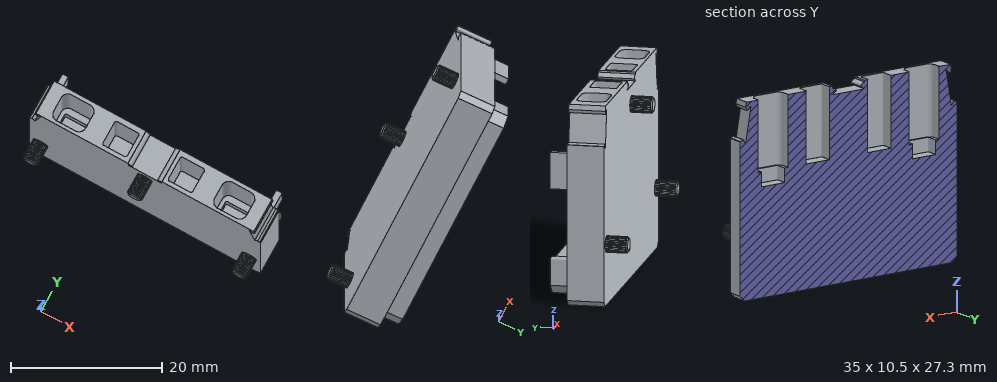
import cadquery as cq
import math


BODY_WIDTH = 35.0
BODY_DEPTH = 5.0
BODY_HEIGHT = 27.3
BODY_CHAMFER = 0.8
HALF_WIDTH = BODY_WIDTH / 2

SHOULDER_Z = 22.0
RIDGE_START_X = HALF_WIDTH - 0.15
RIDGE_TOP_X = HALF_WIDTH - 0.45
RIDGE_TOP_Z = SHOULDER_Z + 0.25
RIDGE_ROUND_X = HALF_WIDTH - 0.6
RIDGE_ROUND_Z = SHOULDER_Z + 0.18
RIDGE_END_X = HALF_WIDTH - 0.7
VALLEY_X = 16.6
VALLEY_Z = 21.6

LIP_TOP_X = 16.45
LIP_OUTER_X = 16.6
LIP_OUTER_Z = 26.6
LIP_BEND_X = 16.53
LIP_BEND_Z = 26.37
LIP_LOW_X = 16.3
LIP_LOW_Z = 26.12
LIP_INNER_X = 16.05
LIP_INNER_Z = 26.25
LIP_ROOT_X = 15.75
LIP_ROOT_Z = 26.6

NOTCH_TOP_X = 2.57
NOTCH_FLOOR_Z = 26.13
NOTCH_ROOT_X = 2.5
NOTCH_TIP_X = 1.9
NOTCH_TIP_Z = 26.55
NOTCH_STEP_Z = 27.05
NOTCH_BEND_X = 2.25
NOTCH_BEND_Z = 26.93
NOTCH_BULGE_X = 2.05
NOTCH_BULGE_Z = 26.78

INNER_SOCKET_X = 4.95
INNER_SOCKET_SIZE = 3.65
INNER_SOCKET_Y = 2.4
INNER_SOCKET_RADIUS = 0.3
OUTER_SOCKET_X = 12.15
OUTER_SOCKET_WIDTH = 4.8
OUTER_SOCKET_DEPTH_Y = 4.0
OUTER_SOCKET_Y = 2.45
OUTER_SOCKET_RADIUS = 1.0
SOCKET_DEPTH = 10.0
CONTACT_WIDTH = 3.65
CONTACT_DEPTH_Y = 2.85
CONTACT_Y = 2.1
CONTACT_RADIUS = 0.2
CONTACT_DEPTH = 2.0

PEG_LENGTH = 3.0
PEG_RADIUS = 1.1
PEG_ROOT_RADIUS = 1.0
PEG_TIP_RADIUS = 0.85
PEG_TIP_LENGTH = 0.25
PEG_TEETH = 24
LOWER_PEG_X = 15.75
LOWER_PEG_Z = 8.35
UPPER_PEG_Z = 23.6

REAR_LENGTH = 2.5
REAR_HEIGHT = 5.0
POST_OUTER_X = 16.6
POST_WIDTH = 0.9
POST_BOTTOM_Z = 15.65
BAR_HALF_WIDTH = 16.45
BAR_BOTTOM_Z = 1.17
BAR_BOTTOM_CHAMFER = 1.33
BAR_TOP_RADIUS = 0.2
BAR_STEP_X = 15.15
BAR_STEP_RADIUS = 0.4
BAR_STEP_SLOPE_RUN = 0.29
BAR_STEP_ANGLE = math.radians(45)

OVERLAP = 0.2


def mirror_point(point):
    """Reflect an (x, z) point in the YZ plane."""
    return (-point[0], point[1])


def draw_mirrored(sketch, start, segments):
    """Draw segments from start up the right half, then their reflections down the left half.

    A segment with two points is an arc (middle, end); one with a single point is a line.
    """
    sketch = sketch.moveTo(*start)
    for segment in segments:
        if len(segment) == 1:
            sketch = sketch.lineTo(*segment[0])
        else:
            sketch = sketch.threePointArc(*segment)
    ends = [start] + [segment[-1] for segment in segments]
    sketch = sketch.lineTo(*mirror_point(ends[-1]))
    for segment, begin in reversed(list(zip(segments, ends))):
        target = mirror_point(begin)
        if len(segment) == 1:
            sketch = sketch.lineTo(*target)
        else:
            sketch = sketch.threePointArc(mirror_point(segment[0]), target)
    return sketch.close()


def extrude_back(sketch, length):
    """Extrude an XZ sketch toward +Y."""
    return sketch.extrude(-length)


def make_body():
    segments = [
        [(HALF_WIDTH, BODY_CHAMFER)],
        [(HALF_WIDTH, SHOULDER_Z)],
        [(RIDGE_START_X, SHOULDER_Z)],
        [(RIDGE_TOP_X, RIDGE_TOP_Z)],
        [(RIDGE_ROUND_X, RIDGE_ROUND_Z), (RIDGE_END_X, SHOULDER_Z)],
        [(VALLEY_X, VALLEY_Z)],
        [(LIP_ROOT_X, LIP_ROOT_Z)],
        [(LIP_INNER_X, LIP_INNER_Z)],
        [(LIP_LOW_X, LIP_LOW_Z), (LIP_BEND_X, LIP_BEND_Z)],
        [(LIP_OUTER_X, LIP_OUTER_Z)],
        [(LIP_TOP_X, BODY_HEIGHT)],
        [(NOTCH_TOP_X, BODY_HEIGHT)],
        [(NOTCH_TOP_X, NOTCH_STEP_Z)],
        [(NOTCH_BEND_X, NOTCH_BEND_Z)],
        [(NOTCH_BULGE_X, NOTCH_BULGE_Z), (NOTCH_TIP_X, NOTCH_TIP_Z)],
        [(NOTCH_ROOT_X, NOTCH_FLOOR_Z)],
    ]
    start = (HALF_WIDTH - BODY_CHAMFER, 0)
    outline = draw_mirrored(cq.Workplane("XZ"), start, segments)
    return extrude_back(outline, BODY_DEPTH)


def make_pocket(x, y, width, depth_y, radius, top_z, depth):
    """A rounded rectangular pocket volume going down from top_z."""
    pocket = cq.Workplane("XY").box(width, depth_y, depth, centered=(True, True, False))
    pocket = pocket.edges("|Z").fillet(radius)
    return pocket.translate((x, y, top_z - depth))


def cut_sockets(part):
    floor_z = BODY_HEIGHT - SOCKET_DEPTH
    for side in (-1, 1):
        part = part.cut(make_pocket(
            side * INNER_SOCKET_X, INNER_SOCKET_Y, INNER_SOCKET_SIZE, INNER_SOCKET_SIZE,
            INNER_SOCKET_RADIUS, BODY_HEIGHT, SOCKET_DEPTH))
        part = part.cut(make_pocket(
            side * OUTER_SOCKET_X, OUTER_SOCKET_Y, OUTER_SOCKET_WIDTH, OUTER_SOCKET_DEPTH_Y,
            OUTER_SOCKET_RADIUS, BODY_HEIGHT, SOCKET_DEPTH))
        part = part.cut(make_pocket(
            side * OUTER_SOCKET_X, CONTACT_Y, CONTACT_WIDTH, CONTACT_DEPTH_Y,
            CONTACT_RADIUS, floor_z, CONTACT_DEPTH))
    return part


def make_peg(x, z):
    """A peg with V-shaped knurling along its length and a tapered tip."""
    points = []
    for index in range(2 * PEG_TEETH):
        angle = math.pi * (index + 0.5) / PEG_TEETH
        if index % 2 == 0:
            radius = PEG_RADIUS
        else:
            radius = PEG_ROOT_RADIUS
        points.append((radius * math.cos(angle), radius * math.sin(angle)))
    knurl = cq.Workplane("XZ").polyline(points).close().extrude(PEG_LENGTH + OVERLAP)
    envelope = (
        cq.Workplane("XZ").circle(PEG_RADIUS).extrude(PEG_LENGTH + OVERLAP)
        .faces("<Y").chamfer(PEG_TIP_LENGTH, PEG_RADIUS - PEG_TIP_RADIUS)
    )
    return knurl.intersect(envelope).translate((x, OVERLAP, z))


def make_post(side):
    """Upright post near the end of the rear face, above the foot bar."""
    center_x = side * (POST_OUTER_X - POST_WIDTH / 2)
    depth_y = REAR_LENGTH + OVERLAP
    post = cq.Workplane("XY").box(POST_WIDTH, depth_y, REAR_HEIGHT, centered=(True, False, False))
    return post.translate((center_x, BODY_DEPTH - OVERLAP, POST_BOTTOM_Z))


def make_bar():
    """Foot bar with rounded upper ends, whose top steps down toward the middle along an S-shaped ramp."""
    top_z = BAR_BOTTOM_Z + REAR_HEIGHT
    run = BAR_STEP_RADIUS * math.sin(BAR_STEP_ANGLE)
    drop = BAR_STEP_RADIUS * (1 - math.cos(BAR_STEP_ANGLE))
    mid_run = BAR_STEP_RADIUS * math.sin(BAR_STEP_ANGLE / 2)
    mid_drop = BAR_STEP_RADIUS * (1 - math.cos(BAR_STEP_ANGLE / 2))
    slope_drop = BAR_STEP_SLOPE_RUN * math.tan(BAR_STEP_ANGLE)
    ramp_top = (BAR_STEP_X - run, top_z - drop)
    ramp_end = (ramp_top[0] - BAR_STEP_SLOPE_RUN, ramp_top[1] - slope_drop)
    step_end = (ramp_end[0] - run, ramp_end[1] - drop)
    corner_inset = BAR_TOP_RADIUS * (1 - math.sqrt(0.5))
    corner_middle = (BAR_HALF_WIDTH - corner_inset, top_z - corner_inset)
    segments = [
        [(BAR_HALF_WIDTH, BAR_BOTTOM_Z + BAR_BOTTOM_CHAMFER)],
        [(BAR_HALF_WIDTH, top_z - BAR_TOP_RADIUS)],
        [corner_middle, (BAR_HALF_WIDTH - BAR_TOP_RADIUS, top_z)],
        [(BAR_STEP_X, top_z)],
        [(BAR_STEP_X - mid_run, top_z - mid_drop), ramp_top],
        [ramp_end],
        [(step_end[0] + mid_run, step_end[1] + mid_drop), step_end],
    ]
    start = (BAR_HALF_WIDTH - BAR_BOTTOM_CHAMFER, BAR_BOTTOM_Z)
    plane = cq.Workplane("XZ", origin=(0, BODY_DEPTH - OVERLAP, 0))
    outline = draw_mirrored(plane, start, segments)
    return extrude_back(outline, REAR_LENGTH + OVERLAP)


result = cut_sockets(make_body())
for peg_x, peg_z in ((-LOWER_PEG_X, LOWER_PEG_Z), (LOWER_PEG_X, LOWER_PEG_Z), (0, UPPER_PEG_Z)):
    result = result.union(make_peg(peg_x, peg_z))
for post_side in (-1, 1):
    result = result.union(make_post(post_side))
result = result.union(make_bar())